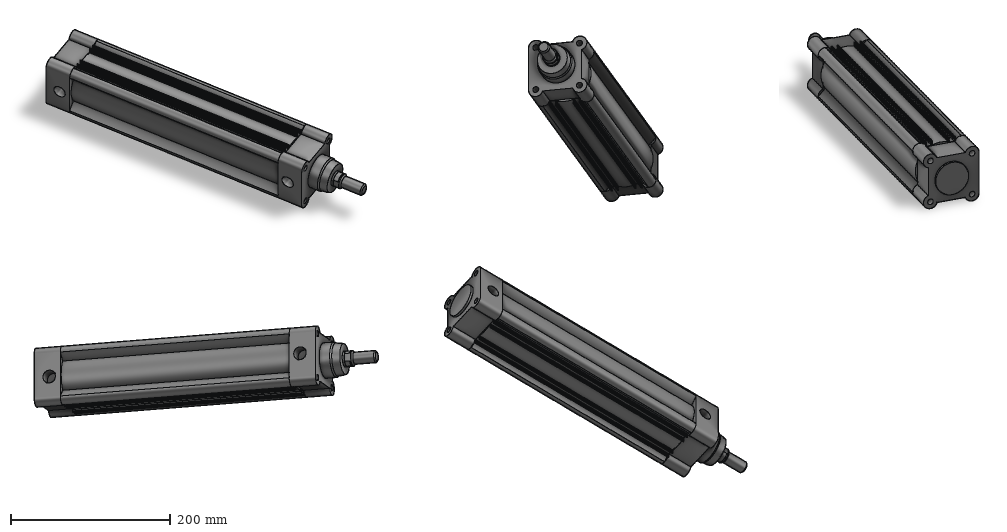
import cadquery as cq
import math


length = 444.0
collar_length = 3.0
head_length = 34.5
tube_length = 303.0
rear_head_start = collar_length
tube_start = rear_head_start + head_length
tube_end = tube_start + tube_length
front_head_end = tube_end + head_length

width = 76.0
half_width = width / 2
corner_offset = 28.5
corner_radius = half_width - corner_offset

recess_depth = 6.5
recess_half_width = half_width - recess_depth
collar_diameter = 45.0
collar_radius = collar_diameter / 2
tapped_hole_diameter = 7.5
tapped_hole_depth = 17.8
port_diameter = 16.5
port_depth = 17.8
port_z_shift = 2.0
rear_port_x = 23.0
front_port_x = 354.8

gland_step_start = front_head_end + 13.8
gland_step_end = gland_step_start + 2.0
gland_end = front_head_end + 26.0
gland_diameter = 42.0
gland_radius = gland_diameter / 2
gland_end_radius = 19.5
gland_round_depth = 0.5

barrel_radius = 34.0
rib_thickness = 1.5
rib_neck_thickness = 0.7
rib_neck_bottom = 34.0
rib_neck_top = 36.5
rib_centers = (11.5, 19.5)
slot_floor_height = 32.0

rod_diameter = 20.0
rod_radius = rod_diameter / 2
rod_neck_radius = 9.8
rod_neck_start = 404.0
rod_neck_end = 410.5
rod_shoulder = 412.5
rod_taper_length = 2.0
thread_diameter = 15.5
thread_radius = thread_diameter / 2
thread_chamfer = 1.8
flat_half_width = 8.5


def plane_at(x):
    """Cross-section plane at station x, with local axes along Y and Z."""
    return cq.Workplane("YZ", origin=(x, 0, 0))


def cylinder(x_start, x_end, radius):
    return plane_at(x_start).circle(radius).extrude(x_end - x_start)


def corner_points():
    return [(sy * corner_offset, sz * corner_offset) for sy in (-1, 1) for sz in (-1, 1)]


def make_head(x_start, outer_face_x, inward, port_x, port_z):
    """Head block: flat port face at -Y, recessed between round corner ears on the other sides."""
    core = (
        plane_at(x_start)
        .center((recess_half_width - corner_offset) / 2, 0)
        .rect(recess_half_width + corner_offset, 2 * recess_half_width)
        .extrude(head_length)
    )
    port_pad = (
        plane_at(x_start)
        .center(-(half_width + corner_offset) / 2, 0)
        .rect(corner_radius, 2 * corner_offset)
        .extrude(head_length)
    )
    ears = plane_at(x_start).pushPoints(corner_points()).circle(corner_radius).extrude(head_length)
    head = core.union(port_pad).union(ears)

    tapped_holes = (
        plane_at(outer_face_x)
        .pushPoints(corner_points())
        .circle(tapped_hole_diameter / 2)
        .extrude(inward * tapped_hole_depth)
    )
    port = (
        cq.Workplane("XZ", origin=(port_x, -half_width, port_z))
        .circle(port_diameter / 2)
        .extrude(-port_depth)
    )
    return head.cut(tapped_holes).cut(port)


def make_rear_head():
    head = make_head(rear_head_start, rear_head_start, 1, rear_port_x, -port_z_shift)
    return head.union(cylinder(0, rear_head_start, collar_radius))


def make_gland():
    """Stepped collar whose front end is gently rounded."""
    round_middle_x = (gland_step_end + gland_end) / 2
    return (
        cq.Workplane("XY")
        .moveTo(front_head_end, 0)
        .lineTo(front_head_end, collar_radius)
        .lineTo(gland_step_start, collar_radius)
        .lineTo(gland_step_end, gland_radius)
        .threePointArc((round_middle_x, gland_radius - gland_round_depth), (gland_end, gland_end_radius))
        .lineTo(gland_end, 0)
        .close()
        .revolve(360, (0, 0, 0), (1, 0, 0))
    )


def make_front_head():
    head = make_head(tube_end, front_head_end, -1, front_port_x, port_z_shift)
    rod_bore = cylinder(tube_end, gland_end, rod_radius)
    return head.union(make_gland()).cut(rod_bore)


def make_tube_corner():
    """Corner ear in the +Y +Z quadrant, with 45 degree sides running in to the barrel."""
    arc_middle = corner_offset + corner_radius * math.sqrt(0.5)
    return (
        plane_at(tube_start)
        .moveTo(0, 0)
        .lineTo(corner_radius, 0)
        .lineTo(half_width, corner_offset)
        .threePointArc((arc_middle, arc_middle), (corner_offset, half_width))
        .lineTo(0, corner_radius)
        .close()
        .extrude(tube_length)
    )


def rib_block(thickness, height):
    """Pair of strips of one height that stand on both rib centers."""
    return (
        plane_at(tube_start)
        .pushPoints([(center, height / 2) for center in rib_centers])
        .rect(thickness, height)
        .extrude(tube_length)
    )


def make_ribs():
    """Two thin ribs, each waisted between its foot and its lip."""
    necks = rib_block(rib_neck_thickness, half_width)
    feet = rib_block(rib_thickness, rib_neck_bottom)
    lips = rib_block(rib_thickness, half_width).cut(rib_block(rib_thickness, rib_neck_top))
    return feet.union(necks).union(lips)


def make_slot():
    """Sensor slot on the +Y half of the top: two ribs on a flat floor that runs out to the corner ear."""
    floor_inner = rib_centers[0]
    floor_outer = slot_floor_height - corner_radius
    floor = (
        plane_at(tube_start)
        .moveTo(floor_inner, floor_inner - corner_radius)
        .lineTo(floor_inner, slot_floor_height)
        .lineTo(floor_outer, slot_floor_height)
        .close()
        .extrude(tube_length)
    )
    return make_ribs().union(floor)


def make_tube():
    tube = cylinder(tube_start, tube_end, barrel_radius)
    quadrant = make_tube_corner().union(make_slot())
    upper_half = quadrant.union(quadrant.mirror("XZ"))
    return tube.union(upper_half).union(upper_half.mirror("XY"))


def make_rod():
    """Rod with a shallow neck, two wrench flats and a thinner threaded end."""
    rod = (
        cq.Workplane("XY")
        .moveTo(tube_end, 0)
        .lineTo(tube_end, rod_radius)
        .lineTo(rod_neck_start, rod_radius)
        .lineTo(rod_neck_start, rod_neck_radius)
        .lineTo(rod_neck_end, rod_neck_radius)
        .lineTo(rod_neck_end, rod_radius)
        .lineTo(rod_shoulder, rod_radius)
        .lineTo(rod_shoulder + rod_taper_length, thread_radius)
        .lineTo(length - thread_chamfer, thread_radius)
        .lineTo(length, thread_radius - thread_chamfer)
        .lineTo(length, 0)
        .close()
        .revolve(360, (0, 0, 0), (1, 0, 0))
    )
    flat_length = rod_shoulder - rod_neck_start
    flats = (
        plane_at(rod_neck_start)
        .pushPoints([(side * (flat_half_width + rod_radius), 0) for side in (-1, 1)])
        .rect(2 * rod_radius, 2 * rod_radius)
        .extrude(flat_length)
    )
    return rod.cut(flats)


rear_head = make_rear_head()
tube = make_tube()
front_head = make_front_head()
rod = make_rod()

result = cq.Compound.makeCompound([rear_head.val(), tube.val(), front_head.val(), rod.val()])